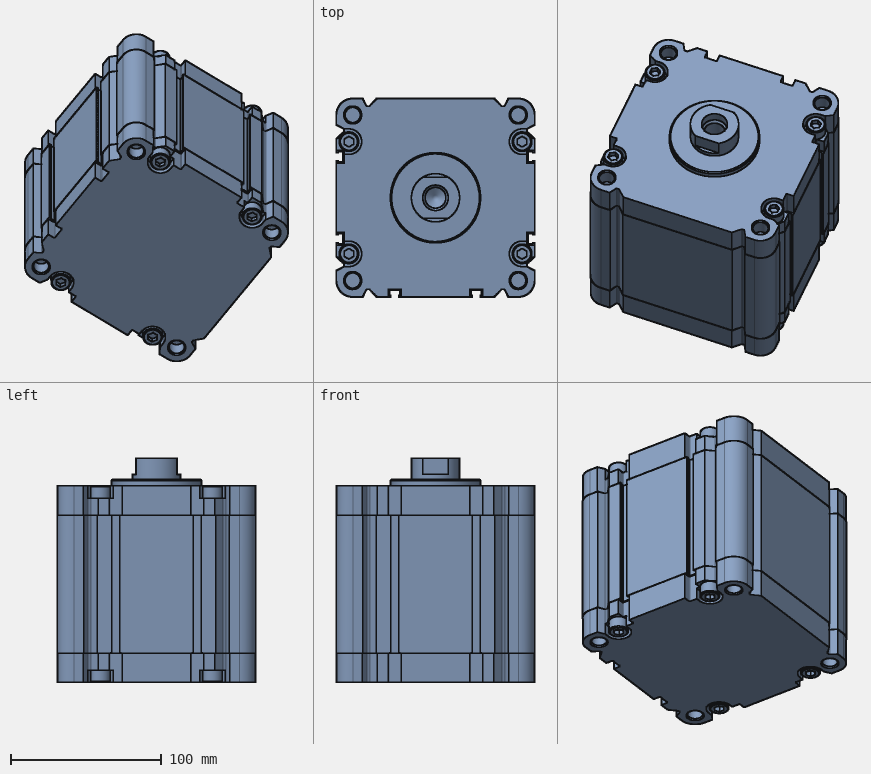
import cadquery as cq
import math

TOTAL_HEIGHT = 149.0
BODY_HEIGHT = 130.7
CAP_HEIGHT = 19.5
TUBE_HEIGHT = BODY_HEIGHT - 2 * CAP_HEIGHT
BOSS_HEIGHT = 4.3
BOSS_TOP = BODY_HEIGHT + BOSS_HEIGHT

BODY_WIDTH = 132.0
HALF_WIDTH = BODY_WIDTH / 2
CAP_RECESS = 0.22
CAP_WIDTH = BODY_WIDTH - 2 * CAP_RECESS
CORNER_RADIUS = 11.0

GROOVE_DEPTH = 5.2
GROOVE_FLOOR = (44.0, 45.7)
GROOVE_FLOOR_RADIUS = 0.6
CAP_GROOVE_MOUTH = (38.6, 48.7)
TUBE_GROOVE_MOUTH = (39.2, 48.3)

SLOT_OFFSET = 27.1
CAP_SLOT_WIDTH = 8.6
CAP_SLOT_DEPTH = 5.4
CAP_SLOT_FLOOR_RADIUS = 0.5
TUBE_SLOT_WIDTH = 6.5
TUBE_SLOT_DEPTH = 4.5
TUBE_SLOT_MOUTH = 5.2
TUBE_SLOT_LIP = 1.3

ALL_SIDES = (0, 90, 180, 270)
SLOTTED_SIDES = (0, 90, 270)

BOSS_DIAMETER = 60.0
BOSS_CHAMFER = 0.9

MOUNT_OFFSET = HALF_WIDTH - CORNER_RADIUS
MOUNT_DIAMETER = 10.1
MOUNT_MOUTH_DIAMETER = 11.9
MOUNT_DEPTH = 11.9

SCREW_X = 57.5
SCREW_Y = 37.2
POCKET_WIDTH = 17.0
POCKET_DEPTH = 8.2
HEAD_DIAMETER = 13.0
HEAD_CHAMFER = 0.7
SOCKET_FLATS = 6.1
SOCKET_DEPTH = 3.7

ROD_DIAMETER = 32.0
ROD_BOTTOM = BODY_HEIGHT - CAP_HEIGHT
ROD_FLATS = 27.3
FLATS_HEIGHT = 10.9
ROD_HOLE_DIAMETER = 13.9
COUNTERBORE_DIAMETER = 17.0
COUNTERBORE_DEPTH = 7.0
ROD_HOLE_DEPTH = 22.4
DRILL_POINT_ANGLE = 118.0


def turned(solid, angle):
    """Turn a solid about the Z axis."""
    return solid.rotate((0, 0, 0), (0, 0, 1), angle)


def both_ends(top_feature):
    """A feature at the top of the body, with its mirror image at the bottom."""
    middle = (0, 0, BODY_HEIGHT / 2)
    return top_feature.union(top_feature.mirror("XY", middle))


def groove(mouth, side, height):
    """A V-groove in the -Y side; side is -1 or +1 along X."""
    near, far = mouth
    floor_near, floor_far = GROOVE_FLOOR
    floor_y = GROOVE_DEPTH - HALF_WIDTH
    outline = [
        (side * near, -HALF_WIDTH),
        (side * floor_near, floor_y),
        (side * floor_far, floor_y),
        (side * far, -HALF_WIDTH),
    ]
    wedge = cq.Workplane("XY").polyline(outline).close().extrude(height)
    return wedge.edges("|Z and >Y").fillet(GROOVE_FLOOR_RADIUS)


def channel(center_x, width, depth, height):
    """A rectangular channel in the -Y side."""
    return (
        cq.Workplane("XY")
        .center(center_x, depth / 2 - HALF_WIDTH)
        .rect(width, depth)
        .extrude(height)
    )


def cap_slot(center_x):
    slot = channel(center_x, CAP_SLOT_WIDTH, CAP_SLOT_DEPTH, CAP_HEIGHT)
    return slot.edges("|Z and >Y").fillet(CAP_SLOT_FLOOR_RADIUS)


def tube_slot(center_x):
    mouth = channel(center_x, TUBE_SLOT_MOUTH, TUBE_SLOT_DEPTH, TUBE_HEIGHT)
    wide = channel(center_x, TUBE_SLOT_WIDTH, TUBE_SLOT_DEPTH - TUBE_SLOT_LIP, TUBE_HEIGHT)
    return mouth.union(wide.translate((0, TUBE_SLOT_LIP, 0)))


def profiled_block(width, height, groove_mouth, make_slot):
    """A rounded square block with grooves on every side and slots on three."""
    block = cq.Workplane("XY").rect(width, width).extrude(height)
    corner_radius = width / 2 - MOUNT_OFFSET
    block = block.edges("|Z").fillet(corner_radius)
    for side in (-1, 1):
        side_groove = groove(groove_mouth, side, height)
        for angle in ALL_SIDES:
            block = block.cut(turned(side_groove, angle))
        slot = make_slot(side * SLOT_OFFSET)
        for angle in SLOTTED_SIDES:
            block = block.cut(turned(slot, angle))
    return block


def mirrored_places(x, y):
    return [(i * x, j * y) for i in (-1, 1) for j in (-1, 1)]


def mounting_holes():
    """Blind corner holes with a 45 degree countersunk mouth."""
    chamfer = (MOUNT_MOUTH_DIAMETER - MOUNT_DIAMETER) / 2
    hole = (
        cq.Workplane("XZ")
        .polyline([
            (0, BODY_HEIGHT),
            (MOUNT_MOUTH_DIAMETER / 2, BODY_HEIGHT),
            (MOUNT_DIAMETER / 2, BODY_HEIGHT - chamfer),
            (MOUNT_DIAMETER / 2, BODY_HEIGHT - MOUNT_DEPTH),
            (0, BODY_HEIGHT - MOUNT_DEPTH),
        ])
        .close()
        .revolve(360, (0, 0, 0), (0, 1, 0))
    )
    holes = cq.Workplane("XY")
    for x, y in mirrored_places(MOUNT_OFFSET, MOUNT_OFFSET):
        holes = holes.union(hole.translate((x, y, 0)))
    return both_ends(holes)


def screw_pockets():
    """Round-ended pockets around the screw heads, open to the -X and +X sides."""
    floor = cq.Workplane("XY").workplane(offset=BODY_HEIGHT - POCKET_DEPTH)
    places = mirrored_places(SCREW_X, SCREW_Y)
    pockets = floor.pushPoints(places).circle(POCKET_WIDTH / 2).extrude(POCKET_DEPTH)
    opening = HALF_WIDTH - SCREW_X
    opening_places = mirrored_places(SCREW_X + opening / 2, SCREW_Y)
    openings = floor.pushPoints(opening_places).rect(opening, POCKET_WIDTH).extrude(POCKET_DEPTH)
    return both_ends(pockets.union(openings))


def screw_heads():
    """Chamfered hexagon socket heads, level with the cap face."""
    head = (
        cq.Workplane("XY")
        .workplane(offset=BODY_HEIGHT - POCKET_DEPTH)
        .circle(HEAD_DIAMETER / 2)
        .extrude(POCKET_DEPTH)
        .faces(">Z")
        .chamfer(HEAD_CHAMFER)
    )
    socket_corners = SOCKET_FLATS / math.cos(math.radians(30))
    socket = (
        cq.Workplane("XY")
        .workplane(offset=BODY_HEIGHT - SOCKET_DEPTH)
        .polygon(6, socket_corners)
        .extrude(SOCKET_DEPTH)
    )
    head = head.cut(turned(socket, 90))
    heads = cq.Workplane("XY")
    for x, y in mirrored_places(SCREW_X, SCREW_Y):
        heads = heads.union(head.translate((x, y, 0)))
    return both_ends(heads)


def make_housing():
    """Tube, end caps, boss and screw heads as one solid."""
    cap = profiled_block(CAP_WIDTH, CAP_HEIGHT, CAP_GROOVE_MOUTH, cap_slot)
    tube = profiled_block(BODY_WIDTH, TUBE_HEIGHT, TUBE_GROOVE_MOUTH, tube_slot)
    boss = (
        cq.Workplane("XY")
        .workplane(offset=BODY_HEIGHT)
        .circle(BOSS_DIAMETER / 2)
        .extrude(BOSS_HEIGHT)
        .faces(">Z")
        .chamfer(BOSS_CHAMFER)
    )
    rod_bore = (
        cq.Workplane("XY")
        .workplane(offset=ROD_BOTTOM)
        .circle(ROD_DIAMETER / 2)
        .extrude(BOSS_TOP - ROD_BOTTOM)
    )
    housing = cap.union(tube.translate((0, 0, CAP_HEIGHT)))
    housing = housing.union(cap.translate((0, 0, BODY_HEIGHT - CAP_HEIGHT)))
    housing = housing.cut(mounting_holes()).cut(screw_pockets())
    return housing.union(screw_heads()).union(boss).cut(rod_bore)


def rod_hole():
    """Counterbored blind hole with a 45 degree step and a conical drill point."""
    radius = ROD_HOLE_DIAMETER / 2
    counterbore_radius = COUNTERBORE_DIAMETER / 2
    counterbore_bottom = TOTAL_HEIGHT - COUNTERBORE_DEPTH
    point_height = radius / math.tan(math.radians(DRILL_POINT_ANGLE / 2))
    hole_bottom = TOTAL_HEIGHT - ROD_HOLE_DEPTH
    return (
        cq.Workplane("XZ")
        .polyline([
            (0, TOTAL_HEIGHT),
            (counterbore_radius, TOTAL_HEIGHT),
            (counterbore_radius, counterbore_bottom),
            (radius, counterbore_bottom - (counterbore_radius - radius)),
            (radius, hole_bottom),
            (0, hole_bottom - point_height),
        ])
        .close()
        .revolve(360, (0, 0, 0), (0, 1, 0))
    )


def make_rod():
    """Piston rod with two wrench flats at its free end."""
    rod = (
        cq.Workplane("XY")
        .workplane(offset=ROD_BOTTOM)
        .circle(ROD_DIAMETER / 2)
        .extrude(TOTAL_HEIGHT - ROD_BOTTOM)
    )
    flat_cut = (ROD_DIAMETER - ROD_FLATS) / 2
    for side in (-1, 1):
        waste = (
            cq.Workplane("XY")
            .workplane(offset=TOTAL_HEIGHT - FLATS_HEIGHT)
            .center(0, side * (ROD_FLATS + flat_cut) / 2)
            .rect(ROD_DIAMETER, flat_cut)
            .extrude(FLATS_HEIGHT)
        )
        rod = rod.cut(waste)
    return rod.cut(rod_hole())


housing = make_housing()
rod = make_rod()
result = cq.Compound.makeCompound([housing.val(), rod.val()])